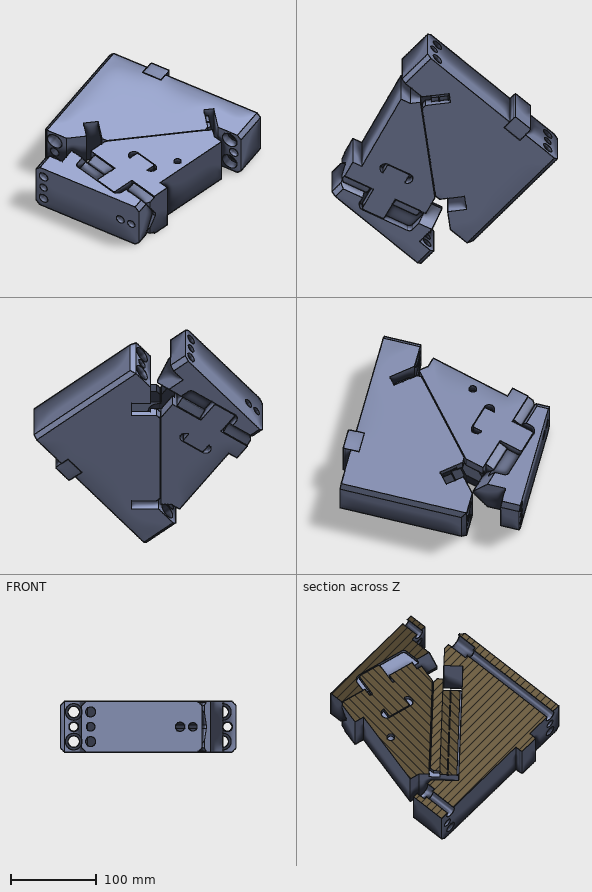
import cadquery as cq
import math

HEIGHT = 60.0
HALF = HEIGHT / 2
BIG = 438.0

HOUSING_WIDTH = 205.0
HOUSING_DEPTH = 151.3
RIGHT_LEG_DEPTH = 44.5
LEFT_FOOT_WIDTH = 31.5
HOUSING_CHAMFER = 5.0

KEY_LEFT = 50.4
KEY_WIDTH = 25.0
KEY_PROJECTION = 9.5
KEY_EMBEDDED = 9.9
KEY_HEIGHT = 58.7
KEY_TAPER_WIDTH = 0.7
KEY_TAPER_LENGTH = 2.8

LEFT_BOLT_X = 15.5
RIGHT_BOLT_X = HOUSING_WIDTH - LEFT_BOLT_X
LEFT_DOWEL_X = LEFT_BOLT_X
RIGHT_DOWEL_X = 195.0
BOLT_Z = 17.3
BOLT_DIAMETER = 13.1
BOLT_HEAD_DIAMETER = 19.5
LEFT_BOLT_HEAD_DEPTH = 26.3
RIGHT_BOLT_HEAD_DEPTH = 11.0
DOWEL_DIAMETER = 11.5
DOWEL_DEPTH = 22.0
DOWEL_RELIEF_DIAMETER = 10.3

GUIDE_ANGLE = 40.0
FACE_V = -147.4
FACE_GAP = 1.0
SLOT_END_V = -113.9
HEAD_START_V = -135.8
NECK_HALF = 16.6
HEAD_HALF = 22.1
LEFT_SLOT_U = (-49.5, -32.2)
RIGHT_SLOT_U = (92.6, 104.5)
FACE_BEVEL = 4.2

VEE_ANGLE = -15.0
RIDGE_N = -131.0
RIDGE_HALF = 2.2
VEE_DEPTH = 16.9

SLIDER_LEFT_T = 104.7
SLIDER_RIGHT_T = 199.5
SHOULDER_T = 211.3
SHOULDER_N = -111.5
SLIDER_BASE_N = -132.5
NOSE_N = -11.8
TONGUE_U = (-16.9, 97.7)
TONGUE_TIP_CHAMFER = 2.2
TONGUE_GROOVE_V = -126.8
TONGUE_GROOVE_WIDTH = 1.3
SPRING_RADIUS = 13.4
SPRING_V = -146.7
SPRING_BOTTOM_V = -164.2
SPRING_END_U = -9.9
LIP_SPANS_T = ((111.3, 143.2), (177.0, SHOULDER_T))
LIP_TOP_Z = 28.3
LIP_EDGE_N = -143.7
LIP_ROUND = 1.0
LIP_CORNER = 4.4
HOOK_T = (145.0, 173.7)
HOOK_N = (-161.2, -95.7)
HOOK_BASE_Z = 17.0
HOOK_FILLET = 2.0
HOOK_RELIEF_RADIUS = 6.4
HOOK_RELIEF_N = -101.5
TAPPED_HOLE_XY = (162.5, -117.8)
TAPPED_HOLE_DIAMETER = 8.5
TAPPED_HOLE_DEPTH = 13.1
DRILL_POINT_ANGLE = 118.0

DRIVER_LEFT_X = 24.7
DRIVER_RIGHT_X = 165.3
DRIVER_WALL_X = 47.3
DRIVER_LEDGE_Y = -187.2
TOTAL_DEPTH = 219.0
DRIVER_BASE_Y = KEY_PROJECTION - TOTAL_DEPTH
DRIVER_CHAMFER = 5.5
POCKET_LEFT_X = 64.2
POCKET_RIGHT_T = 179.8
POCKET_END_N = -162.0
POCKET_LEFT_FILLET = 4.8
POCKET_RIGHT_FILLET = 7.7
SIDE_HOLE_X = 35.3
SIDE_BOLT_DIAMETER = 11.5
SIDE_DOWEL_DIAMETER = 10.0
FRONT_HOLES = ((139.7, 10.7), (154.6, 9.9))


def turned_plane(angle, z=0.0):
    """Horizontal plane at height z with its x axis turned by angle about Z."""
    a = math.radians(angle)
    return cq.Plane(origin=(0, 0, z), xDir=(math.cos(a), math.sin(a), 0), normal=(0, 0, 1))


def section_plane(angle, distance):
    """Upright plane across the turned axis: local x is the crosswise axis, local y is Z."""
    a = math.radians(angle)
    along = cq.Vector(math.cos(a), math.sin(a), 0)
    crosswise = (-math.sin(a), math.cos(a), 0)
    return cq.Plane(origin=(along * distance).toTuple(), xDir=crosswise, normal=along.toTuple())


def turned_point(angle, along, across):
    """Global X, Y of a point given in a turned frame."""
    p = turned_plane(angle).toWorldCoords((along, across, 0))
    return (p.x, p.y)


def guide_point(u, v):
    return turned_point(GUIDE_ANGLE, u, v)


def block(angle, along, across, z_range):
    """Box spanning the given ranges of a turned frame."""
    return (
        cq.Workplane(turned_plane(angle, z_range[0]))
        .moveTo(sum(along) / 2, sum(across) / 2)
        .rect(along[1] - along[0], across[1] - across[0])
        .extrude(z_range[1] - z_range[0])
    )


def both_sides(upper):
    """A shape on the +Z side together with its mirror image on the -Z side."""
    return upper.union(upper.mirror("XY"))


def y_hole(x, z, diameter, y_start, length):
    """Cylinder that starts at y_start and runs towards +Y."""
    plane = cq.Plane(origin=(x, y_start, z), xDir=(1, 0, 0), normal=(0, 1, 0))
    return cq.Workplane(plane).circle(diameter / 2).extrude(length)


def tee_bar(u_range):
    """Bar of tee section along u: the neck crosses the sliding face, the head ends at the slot end."""
    root_v = FACE_V - 2 * FACE_GAP
    upper = [
        (root_v, NECK_HALF),
        (HEAD_START_V, NECK_HALF),
        (HEAD_START_V, HEAD_HALF),
        (SLOT_END_V, HEAD_HALF),
    ]
    lower = [(v, -z) for v, z in reversed(upper)]
    section = cq.Workplane(section_plane(GUIDE_ANGLE, u_range[0])).polyline(upper + lower).close()
    return section.extrude(u_range[1] - u_range[0])


def vee_flank_z(n):
    """Height of the upper vee flank above the mid plane at crosswise position n."""
    return RIDGE_HALF + (RIDGE_N - n) * (HALF - RIDGE_HALF) / VEE_DEPTH


def vee_prism():
    """Everything below the vee ridge and its flanks, long enough to cross the whole part."""
    upper = [(RIDGE_N, RIDGE_HALF), (-BIG, vee_flank_z(-BIG))]
    lower = [(n, -z) for n, z in reversed(upper)]
    return cq.Workplane(section_plane(VEE_ANGLE, 0)).polyline(upper + lower).close().extrude(BIG)


def housing_outline():
    c = math.cos(math.radians(GUIDE_ANGLE))
    s = math.sin(math.radians(GUIDE_ANGLE))
    bevel_v = FACE_V + FACE_BEVEL
    left_bevel_u = LEFT_SLOT_U[1] + FACE_BEVEL * c / s
    right_bevel_u = RIGHT_SLOT_U[0] - FACE_BEVEL * s / c
    flank_v = -LEFT_FOOT_WIDTH * s - HOUSING_DEPTH * c
    mouth_v = (-RIGHT_LEG_DEPTH - RIGHT_SLOT_U[1] * s) / c
    return [
        (0, 0),
        (0, -HOUSING_DEPTH),
        (LEFT_FOOT_WIDTH, -HOUSING_DEPTH),
        guide_point(LEFT_SLOT_U[0], flank_v),
        guide_point(LEFT_SLOT_U[0], SLOT_END_V),
        guide_point(LEFT_SLOT_U[1], SLOT_END_V),
        guide_point(LEFT_SLOT_U[1], bevel_v),
        guide_point(left_bevel_u, FACE_V),
        guide_point(right_bevel_u, FACE_V),
        guide_point(RIGHT_SLOT_U[0], bevel_v),
        guide_point(RIGHT_SLOT_U[0], SLOT_END_V),
        guide_point(RIGHT_SLOT_U[1], SLOT_END_V),
        guide_point(RIGHT_SLOT_U[1], mouth_v),
        (HOUSING_WIDTH, -RIGHT_LEG_DEPTH),
        (HOUSING_WIDTH, 0),
    ]


def make_key():
    right = KEY_LEFT + KEY_WIDTH
    shoulder = KEY_PROJECTION - KEY_TAPER_LENGTH
    points = [
        (KEY_LEFT, -KEY_EMBEDDED),
        (right, -KEY_EMBEDDED),
        (right, shoulder),
        (right - KEY_TAPER_WIDTH, KEY_PROJECTION),
        (KEY_LEFT + KEY_TAPER_WIDTH, KEY_PROJECTION),
        (KEY_LEFT, shoulder),
    ]
    return cq.Workplane("XY", origin=(0, 0, -KEY_HEIGHT / 2)).polyline(points).close().extrude(KEY_HEIGHT)


def make_housing():
    body = cq.Workplane("XY", origin=(0, 0, -HALF)).polyline(housing_outline()).close().extrude(HEIGHT)
    body = body.edges("(|Y and >X) or (|Y and <X) or (|Z and <X and <Y)").chamfer(HOUSING_CHAMFER)

    seat = cq.Workplane("XY", origin=(0, 0, -HALF)).rect(KEY_WIDTH, 2 * KEY_EMBEDDED).extrude(HEIGHT)
    seat = seat.translate((KEY_LEFT + KEY_WIDTH / 2, 0, 0))
    body = body.cut(seat).union(make_key())

    body = body.cut(tee_bar((sum(LEFT_SLOT_U) / 2, sum(RIGHT_SLOT_U) / 2)))

    for bolt_x, dowel_x, foot_y, head_depth in (
        (LEFT_BOLT_X, LEFT_DOWEL_X, -HOUSING_DEPTH, LEFT_BOLT_HEAD_DEPTH),
        (RIGHT_BOLT_X, RIGHT_DOWEL_X, -RIGHT_LEG_DEPTH, RIGHT_BOLT_HEAD_DEPTH),
    ):
        body = body.cut(y_hole(dowel_x, 0, DOWEL_RELIEF_DIAMETER, foot_y, -foot_y))
        body = body.cut(y_hole(dowel_x, 0, DOWEL_DIAMETER, foot_y, DOWEL_DEPTH))
        for z in (-BOLT_Z, BOLT_Z):
            body = body.cut(y_hole(bolt_x, z, BOLT_DIAMETER, foot_y, -foot_y))
            body = body.cut(y_hole(bolt_x, z, BOLT_HEAD_DIAMETER, foot_y, head_depth))
    return body


def slider_lip(t_range):
    """Lip with a square, rounded end that lies on the upper flank of the vee."""
    edge_z = vee_flank_z(LIP_EDGE_N)
    points = [(SLIDER_BASE_N, vee_flank_z(SLIDER_BASE_N)), (SLIDER_BASE_N, LIP_TOP_Z), (LIP_EDGE_N, edge_z)]
    lip = cq.Workplane(section_plane(VEE_ANGLE, t_range[0])).polyline(points).close()
    lip = lip.extrude(t_range[1] - t_range[0])
    rim = (*turned_point(VEE_ANGLE, sum(t_range) / 2, LIP_EDGE_N), edge_z)
    return lip.edges(cq.selectors.NearestToPointSelector(rim)).fillet(LIP_ROUND)


def lip_corner():
    """Upright wedge that cuts the outer corner of the lips on the shoulder side."""
    points = [
        (SHOULDER_T, LIP_EDGE_N),
        (SHOULDER_T, LIP_EDGE_N + LIP_CORNER),
        (SHOULDER_T - LIP_CORNER, LIP_EDGE_N),
    ]
    return cq.Workplane(turned_plane(VEE_ANGLE, -HALF)).polyline(points).close().extrude(HEIGHT)


def make_hook():
    hook = block(VEE_ANGLE, HOOK_T, HOOK_N, (HOOK_BASE_Z, HALF))
    return hook.edges("|Z").fillet(HOOK_FILLET)


def hook_relief():
    length = HOOK_T[1] - HOOK_T[0] + 2 * HOOK_RELIEF_RADIUS
    return (
        cq.Workplane(turned_plane(VEE_ANGLE, HOOK_BASE_Z))
        .center(sum(HOOK_T) / 2, HOOK_RELIEF_N)
        .slot2D(length, 2 * HOOK_RELIEF_RADIUS)
        .extrude(HALF - HOOK_BASE_Z)
    )


def spring_clearance():
    """Round-ended channel along u that opens at the left of the slider."""
    start_u = LEFT_SLOT_U[0]
    return (
        cq.Workplane(section_plane(GUIDE_ANGLE, start_u))
        .moveTo(SPRING_BOTTOM_V, -SPRING_RADIUS)
        .lineTo(SPRING_V, -SPRING_RADIUS)
        .threePointArc((SPRING_V + SPRING_RADIUS, 0), (SPRING_V, SPRING_RADIUS))
        .lineTo(SPRING_BOTTOM_V, SPRING_RADIUS)
        .close()
        .extrude(SPRING_END_U - start_u)
    )


def make_tongue():
    """Tee tongue with chamfered tip edges and a fine groove along each side of its head."""
    tongue = tee_bar(TONGUE_U)
    along_u = cq.selectors.ParallelDirSelector(turned_plane(GUIDE_ANGLE).xDir)
    tip = cq.selectors.DirectionMinMaxSelector(turned_plane(GUIDE_ANGLE).yDir, True)
    tongue = tongue.faces(tip).edges(along_u).chamfer(TONGUE_TIP_CHAMFER)
    return tongue.cut(both_sides(tongue_groove()))


def tongue_groove():
    half = TONGUE_GROOVE_WIDTH / 2
    return (
        cq.Workplane(section_plane(GUIDE_ANGLE, TONGUE_U[0]))
        .moveTo(TONGUE_GROOVE_V - half, HEAD_HALF)
        .lineTo(TONGUE_GROOVE_V + half, HEAD_HALF)
        .lineTo(TONGUE_GROOVE_V, HEAD_HALF - half)
        .close()
        .extrude(TONGUE_U[1] - TONGUE_U[0])
    )


def tapped_hole():
    radius = TAPPED_HOLE_DIAMETER / 2
    point_height = radius / math.tan(math.radians(DRILL_POINT_ANGLE / 2))
    return (
        cq.Workplane("XZ", origin=(*TAPPED_HOLE_XY, HALF))
        .polyline([(0, 0), (radius, 0), (radius, -TAPPED_HOLE_DEPTH), (0, -TAPPED_HOLE_DEPTH - point_height)])
        .close()
        .revolve(360, (0, 0), (0, 1))
    )


def make_slider():
    outline = [
        (SLIDER_LEFT_T, SLIDER_BASE_N),
        (SHOULDER_T, SLIDER_BASE_N),
        (SHOULDER_T, SHOULDER_N),
        (SLIDER_RIGHT_T, SHOULDER_N),
        (SLIDER_RIGHT_T, BIG),
        (SLIDER_LEFT_T, BIG),
    ]
    body = cq.Workplane(turned_plane(VEE_ANGLE, -HALF)).polyline(outline).close().extrude(HEIGHT)
    slider_face_v = FACE_V - FACE_GAP
    z_range = (-HALF, HALF)
    body = body.intersect(block(GUIDE_ANGLE, (-BIG, BIG), (-BIG, slider_face_v), z_range))
    past_tongue = block(GUIDE_ANGLE, (TONGUE_U[1], BIG), (-BIG, BIG), z_range)
    above_nose = block(VEE_ANGLE, (-BIG, BIG), (NOSE_N, BIG), z_range)
    body = body.cut(past_tongue.intersect(above_nose))
    body = body.cut(vee_prism())
    for span in LIP_SPANS_T:
        body = body.union(both_sides(slider_lip(span)))
    body = body.cut(lip_corner())
    body = body.union(make_tongue())
    body = body.cut(spring_clearance())
    body = body.cut(both_sides(hook_relief())).union(both_sides(make_hook()))
    return body.cut(tapped_hole())


def hook_pocket():
    """Upper pocket: its left wall is parallel to Y, its end and right walls follow the vee."""
    c = math.cos(math.radians(VEE_ANGLE))
    tangent = math.tan(math.radians(VEE_ANGLE))
    left_end = (POCKET_LEFT_X / c + POCKET_END_N * tangent, POCKET_END_N)
    left_start = (POCKET_LEFT_X / c + RIDGE_N * tangent, RIDGE_N)
    right_end = (POCKET_RIGHT_T, POCKET_END_N)
    right_start = (POCKET_RIGHT_T, RIDGE_N)
    pocket = (
        cq.Workplane(turned_plane(VEE_ANGLE, HOOK_BASE_Z))
        .polyline([left_start, left_end, right_end, right_start])
        .close()
        .extrude(HALF - HOOK_BASE_Z)
    )
    for end, radius in ((left_end, POCKET_LEFT_FILLET), (right_end, POCKET_RIGHT_FILLET)):
        corner = (*turned_point(VEE_ANGLE, *end), (HOOK_BASE_Z + HALF) / 2)
        pocket = pocket.edges(cq.selectors.NearestToPointSelector(corner)).fillet(radius)
    return pocket


def make_driver():
    outline = [
        (DRIVER_LEFT_X, DRIVER_BASE_Y),
        (DRIVER_RIGHT_X, DRIVER_BASE_Y),
        (DRIVER_RIGHT_X, 0),
        (DRIVER_WALL_X, 0),
        (DRIVER_WALL_X, DRIVER_LEDGE_Y),
        (DRIVER_LEFT_X, DRIVER_LEDGE_Y),
    ]
    body = cq.Workplane("XY", origin=(0, 0, -HALF)).polyline(outline).close().extrude(HEIGHT)
    body = body.edges("|Y and (>X or <X)").chamfer(DRIVER_CHAMFER)
    body = body.intersect(vee_prism())
    body = body.cut(both_sides(hook_pocket()))
    length = -DRIVER_BASE_Y
    body = body.cut(y_hole(SIDE_HOLE_X, 0, SIDE_DOWEL_DIAMETER, DRIVER_BASE_Y, length))
    for z in (-BOLT_Z, BOLT_Z):
        body = body.cut(y_hole(SIDE_HOLE_X, z, SIDE_BOLT_DIAMETER, DRIVER_BASE_Y, length))
    for x, diameter in FRONT_HOLES:
        body = body.cut(y_hole(x, 0, diameter, DRIVER_BASE_Y, length))
    return body


housing = make_housing()
slider = make_slider()
driver = make_driver()

bodies = [*housing.solids().vals(), *slider.solids().vals(), *driver.solids().vals()]
result = cq.Compound.makeCompound(bodies)